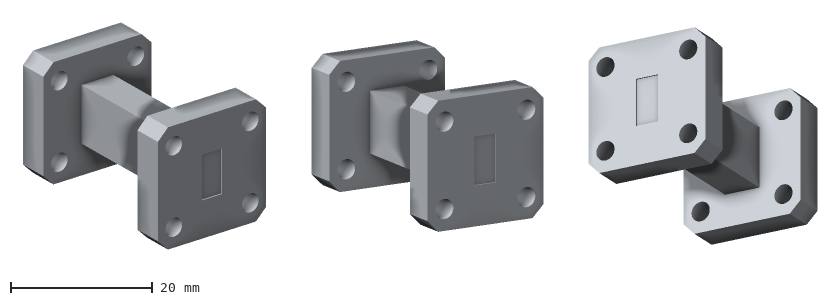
import cadquery as cq

total_length = 31.75
flange_size = 19.05
flange_thickness = 4.826
flange_chamfer = 1.778

tube_width = 5.588
tube_height = 9.144

hole_diameter = 2.946
hole_spacing_y = 13.462
hole_spacing_z = 12.7

aperture_width = 3.556
aperture_height = 7.112
aperture_depth = 0.254


def bar_along_x(width, height, x_start, length):
    """Rectangular bar centred on the X axis, starting at x_start."""
    return cq.Workplane("YZ", origin=(x_start, 0, 0)).rect(width, height).extrude(length)


def flange(x_start):
    """Square flange with chamfered corners and four through bolt holes."""
    plate = bar_along_x(flange_size, flange_size, x_start, flange_thickness)
    plate = plate.edges("|X").chamfer(flange_chamfer)
    bolt_holes = (
        cq.Workplane("YZ", origin=(x_start, 0, 0))
        .rect(hole_spacing_y, hole_spacing_z, forConstruction=True)
        .vertices()
        .circle(hole_diameter / 2)
        .extrude(flange_thickness)
    )
    return plate.cut(bolt_holes)


half_length = total_length / 2

result = bar_along_x(tube_width, tube_height, -half_length, total_length)
for flange_start in (-half_length, half_length - flange_thickness):
    result = result.union(flange(flange_start))
for aperture_start in (-half_length, half_length - aperture_depth):
    result = result.cut(bar_along_x(aperture_width, aperture_height, aperture_start, aperture_depth))